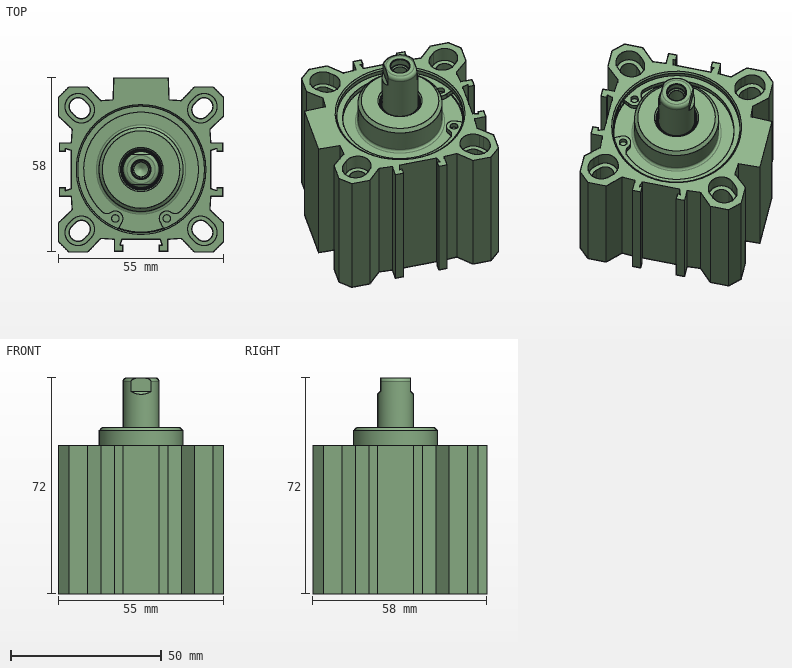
import cadquery as cq
import math

HOUSING_HEIGHT = 49.5
COLLAR_TOP = 55.5
ROD_TOP = 72.0

HOUSING_HALF = 27.5
LUG_CHAMFER = 3.5
LUG_FLANK_START = 17.75
WALL = 23.25
WALL_DROP = 0.3
WALL_FLAT_HALF = 8.9
WALL_END = 13.4

RIB_TIP = 27.2
RIB_HOOK_BASE = 25.2
RIB_OUTER = WALL_FLAT_HALF
RIB_HOOK_INNER = 6.05
RIB_NECK_TOP = 7.0
RIB_NECK_ROOT = 6.35

BLOCK_FACE = 30.5
BLOCK_HALF = 9.1
BLOCK_ROOT_HALF = 9.35

BOLT_OFFSET = 20.4
BOLT_SLOT_SHIFT = 1.6
BOLT_HOLE_DIA = 5.8
BOLT_RECESS_DIA = 8.7
BOLT_RECESS_DEPTH = 5.7

RECESS_DIA = 42.2
RECESS_CHAMFER = 0.5
RING_OUTER_DIA = 44.7
RING_INNER_DIA = 38.2
RING_TOP_DEPTH = 2.05
RING_THICKNESS = 1.75
EAR_RADIUS = 2.5
EAR_HOLE_DIA = 2.5
EAR_CENTER_RADIUS = 18.4
EAR_ANGLE = 27.7
EAR_BLEND = 2.4
MATCH_TOLERANCE = 0.01

FLANGE_DIA = 41.7
FLANGE_THICKNESS = 8.0
COLLAR_DIA = 28.0
COLLAR_CHAMFER = 1.1
COLLAR_FILLET = 0.85
SEAL_DIA = 13.7
SEAL_DEPTH = 0.9
SEAL_CHAMFER = 0.5
SEAL_LIP_DIA = 12.54
SEAL_LIP_CHAMFER = 0.3
SEAL_LIP_DEPTH = 2.0

ROD_DIA = 12.0
ROD_FILLET = 1.3
FLATS_WIDTH = 10.0
FLATS_LENGTH = 4.5
END_RECESS_DIA = 6.25
END_RECESS_CHAMFER = 0.2
END_RECESS_DEPTH = 2.5
THREAD_DIA = 4.92
THREAD_MOUTH_DIA = 5.85
THREAD_END_DEPTH = 10.0
DRILL_POINT_ANGLE = 118.0

RING_TOP = HOUSING_HEIGHT - RING_TOP_DEPTH
FLANGE_TOP = RING_TOP - RING_THICKNESS
RECESS_FLOOR = FLANGE_TOP - FLANGE_THICKNESS


def turned(points, angle):
    """The points turned about the Z axis by an angle in degrees."""
    c = math.cos(math.radians(angle))
    s = math.sin(math.radians(angle))
    return [(x * c - y * s, x * s + y * c) for x, y in points]


def prism(points):
    """A bar of the given outline over the full housing height."""
    return cq.Workplane("XY").polyline(points).close().extrude(HOUSING_HEIGHT)


def disc(diameter, bottom, top):
    return cq.Workplane("XY").workplane(offset=bottom).circle(diameter / 2).extrude(top - bottom)


def housing_core():
    """Four walls that fall back slightly to their ends, joined by chamfered corner lugs."""
    shoulder = HOUSING_HALF - LUG_CHAMFER
    half_side = [
        (WALL, WALL_FLAT_HALF),
        (WALL - WALL_DROP, WALL_END),
        (HOUSING_HALF, LUG_FLANK_START),
        (HOUSING_HALF, shoulder),
    ]
    side = [(x, -y) for x, y in reversed(half_side)] + half_side
    outline = []
    for angle in (0, 90, 180, 270):
        outline += turned(side, angle)
    return prism(outline)


def rib_pair(angle):
    """Two hooked ribs that face each other across a side."""
    rib = [
        (WALL - WALL_DROP, RIB_OUTER),
        (RIB_TIP, RIB_OUTER),
        (RIB_TIP, RIB_HOOK_INNER),
        (RIB_HOOK_BASE, RIB_HOOK_INNER),
        (RIB_HOOK_BASE, RIB_NECK_TOP),
        (WALL, RIB_NECK_ROOT),
        (WALL - WALL_DROP, RIB_NECK_ROOT),
    ]
    mirrored = [(x, -y) for x, y in rib]
    return prism(turned(rib, angle)).union(prism(turned(mirrored, angle)))


def port_block():
    half = [
        (BLOCK_ROOT_HALF, WALL - WALL_DROP),
        (BLOCK_ROOT_HALF, WALL),
        (BLOCK_HALF, BLOCK_FACE),
    ]
    return prism(half + [(-x, y) for x, y in reversed(half)])


def bolt_slot(angle, diameter, bottom, top):
    """A slot lying along the diagonal of a lug."""
    return (
        cq.Workplane("XY")
        .workplane(offset=bottom)
        .transformed(rotate=(0, 0, angle))
        .center(BOLT_OFFSET * math.sqrt(2), 0)
        .slot2D(diameter + BOLT_SLOT_SHIFT, diameter)
        .extrude(top - bottom)
    )


def make_housing():
    body = housing_core().union(port_block())
    for side_angle in (0, 180, 270):
        body = body.union(rib_pair(side_angle))
    for quarter in range(4):
        diagonal = 45 + 90 * quarter
        recess_bottom = HOUSING_HEIGHT - BOLT_RECESS_DEPTH
        body = body.cut(bolt_slot(diagonal, BOLT_HOLE_DIA, 0, HOUSING_HEIGHT))
        body = body.cut(bolt_slot(diagonal, BOLT_RECESS_DIA, recess_bottom, HOUSING_HEIGHT))

    recess = disc(RECESS_DIA, RECESS_FLOOR, HOUSING_HEIGHT)
    groove = disc(RING_OUTER_DIA, FLANGE_TOP, RING_TOP)
    body = body.cut(recess)
    mouth_edge = body.faces(">Z").edges(cq.selectors.RadiusNthSelector(-1))
    return mouth_edge.chamfer(RECESS_CHAMFER).cut(groove)


def make_collar():
    """Flanged rod guide with a wiper recess around the rod."""
    bore_radius = ROD_DIA / 2
    lip_radius = SEAL_LIP_DIA / 2
    seal_radius = SEAL_DIA / 2
    seal_floor = COLLAR_TOP - SEAL_DEPTH
    radius = COLLAR_DIA / 2
    profile = (
        cq.Workplane("XZ")
        .moveTo(bore_radius, RECESS_FLOOR)
        .lineTo(FLANGE_DIA / 2, RECESS_FLOOR)
        .lineTo(FLANGE_DIA / 2, FLANGE_TOP)
        .lineTo(radius + COLLAR_FILLET, FLANGE_TOP)
        .radiusArc((radius, FLANGE_TOP + COLLAR_FILLET), COLLAR_FILLET)
        .lineTo(radius, COLLAR_TOP - COLLAR_CHAMFER)
        .lineTo(radius - COLLAR_CHAMFER, COLLAR_TOP)
        .lineTo(seal_radius + SEAL_CHAMFER, COLLAR_TOP)
        .lineTo(seal_radius, COLLAR_TOP - SEAL_CHAMFER)
        .lineTo(seal_radius, seal_floor)
        .lineTo(lip_radius + SEAL_LIP_CHAMFER, seal_floor)
        .lineTo(lip_radius, seal_floor - SEAL_LIP_CHAMFER)
        .lineTo(lip_radius, COLLAR_TOP - SEAL_LIP_DEPTH)
        .lineTo(bore_radius, COLLAR_TOP - SEAL_LIP_DEPTH)
        .close()
    )
    return profile.revolve(360, (0, 0, 0), (0, 1, 0))


def make_ring():
    """Open retaining ring with a plier ear at each end."""
    inner_radius = RING_INNER_DIA / 2
    ear_turn = math.radians(EAR_ANGLE)
    radial = (math.sin(ear_turn), -math.cos(ear_turn))
    ear = (EAR_CENTER_RADIUS * radial[0], EAR_CENTER_RADIUS * radial[1])
    end = (ear[0] + EAR_RADIUS * radial[1], ear[1] - EAR_RADIUS * radial[0])
    reach = RING_OUTER_DIA / 2
    far = (end[0] + reach * radial[0], end[1] + reach * radial[1])
    ears = [(-ear[0], ear[1]), ear]

    plane = cq.Workplane("XY").workplane(offset=FLANGE_TOP)
    gap = plane.polyline([end, far, (-far[0], far[1]), (-end[0], end[1])]).close().extrude(RING_THICKNESS)
    ring = disc(RING_OUTER_DIA, FLANGE_TOP, RING_TOP).cut(disc(RING_INNER_DIA, FLANGE_TOP, RING_TOP))
    ring = ring.cut(gap)
    ring = ring.union(plane.pushPoints(ears).circle(EAR_RADIUS).extrude(RING_THICKNESS))
    inner_corners = ring.edges("|Z").filter(
        lambda edge: abs(math.hypot(edge.Center().x, edge.Center().y) - inner_radius) < MATCH_TOLERANCE
        and abs(edge.Center().x) > ear[0]
    )
    ring = ring.newObject(inner_corners.vals()).fillet(EAR_BLEND)
    return ring.cut(plane.pushPoints(ears).circle(EAR_HOLE_DIA / 2).extrude(RING_THICKNESS))


def rod_flat():
    """Material taken off the +Y side for one spanner flat, with a 45 degree run-out."""
    step = ROD_DIA - FLATS_WIDTH
    return (
        cq.Workplane("YZ")
        .moveTo(FLATS_WIDTH / 2, ROD_TOP)
        .lineTo(FLATS_WIDTH / 2, ROD_TOP - FLATS_LENGTH)
        .lineTo(FLATS_WIDTH / 2 + step, ROD_TOP - FLATS_LENGTH - step)
        .lineTo(FLATS_WIDTH / 2 + step, ROD_TOP)
        .close()
        .extrude(ROD_DIA, both=True)
    )


def rod_end_hole():
    """Counterbored hole at thread core size, with a chamfered mouth and a drill point."""
    thread_radius = THREAD_DIA / 2
    mouth_radius = THREAD_MOUTH_DIA / 2
    recess_radius = END_RECESS_DIA / 2
    recess_floor = ROD_TOP - END_RECESS_DEPTH
    thread_end = ROD_TOP - THREAD_END_DEPTH
    point_height = thread_radius / math.tan(math.radians(DRILL_POINT_ANGLE / 2))
    return (
        cq.Workplane("XZ")
        .moveTo(0, ROD_TOP)
        .lineTo(recess_radius + END_RECESS_CHAMFER, ROD_TOP)
        .lineTo(recess_radius, ROD_TOP - END_RECESS_CHAMFER)
        .lineTo(recess_radius, recess_floor)
        .lineTo(mouth_radius, recess_floor)
        .lineTo(thread_radius, recess_floor - (mouth_radius - thread_radius))
        .lineTo(thread_radius, thread_end)
        .lineTo(0, thread_end - point_height)
        .close()
        .revolve(360, (0, 0, 0), (0, 1, 0))
    )


def make_rod():
    rod = disc(ROD_DIA, RECESS_FLOOR, ROD_TOP).faces(">Z").edges().fillet(ROD_FILLET)
    flat = rod_flat()
    rod = rod.cut(flat).cut(flat.mirror("XZ"))
    return rod.cut(rod_end_hole())


housing = make_housing()
collar = make_collar()
ring = make_ring()
rod = make_rod()

result = cq.Compound.makeCompound([housing.val(), collar.val(), ring.val(), rod.val()])